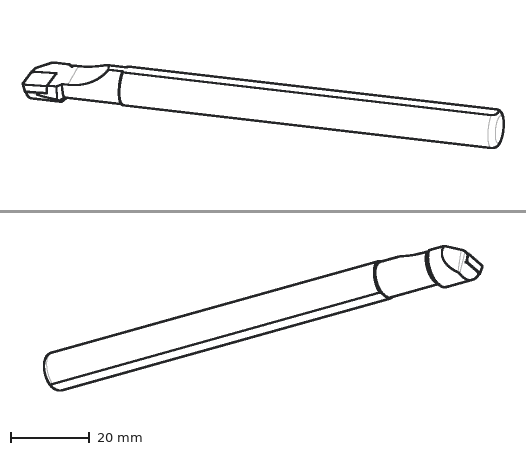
import cadquery as cq
import math

DIAGONAL = math.radians(45)
CLEAR = 30.0
LEAD = 1.0

total_length = 125.0
shank_radius = 5.0
shank_start = 25.0
flat_height = 4.5
rear_rounding = 1.5
front_chamfer = 0.3

neck_radius = 4.75

head_radius = 5.68
head_center_y = shank_radius - head_radius
head_end = 9.9
head_cone_length = head_radius - neck_radius

tip_y = -6.98
rake_angle = 11.1
relief_angle = 7.0

insert_edge = 6.45
insert_thickness = 2.38
edge_lean = 5.0
tip_radius = 0.4
half_point_angle = DIAGONAL - math.radians(edge_lean)
corner_overhang = tip_radius * (math.sin(DIAGONAL) / math.sin(half_point_angle) - 1)

side_setback = 0.2
flank_length = 8.7
nose_corner = 8.0
nose_corner_radius = 1.7

gullet_start = 11.5
gullet_radius = 15.8


def rake_plane():
    """Cutting face as a plane through the tip: X runs towards +Y, Y along the bar, normal down."""
    tilt = math.radians(rake_angle)
    across = (0, math.cos(tilt), math.sin(tilt))
    down = (0, math.sin(tilt), -math.cos(tilt))
    corner = (-corner_overhang, tip_y - corner_overhang * across[1], -corner_overhang * across[2])
    return cq.Plane(origin=corner, xDir=across, normal=down)


def along_front_edge(distance):
    lean = math.radians(edge_lean)
    return distance * math.cos(lean), distance * math.sin(lean)


def along_side_edge(distance):
    lean = math.radians(edge_lean)
    return distance * math.sin(lean), distance * math.cos(lean)


def x_cylinder(radius, start, end, center_y=0.0):
    plane = cq.Workplane("YZ", origin=(start, center_y, 0))
    return plane.circle(radius).extrude(end - start)


def make_insert():
    front_corner = along_front_edge(insert_edge)
    side_corner = along_side_edge(insert_edge)
    far_corner = (front_corner[0] + side_corner[0], front_corner[1] + side_corner[1])
    outline = cq.Workplane(rake_plane()).polyline([(0, 0), side_corner, far_corner, front_corner]).close()
    blank = outline.extrude(insert_thickness, taper=relief_angle)
    tip_edge = cq.selectors.NearestToPointSelector((0, tip_y, -insert_thickness / 2))
    return blank.edges(tip_edge).fillet(tip_radius)


def make_shank():
    shank = x_cylinder(shank_radius, shank_start, total_length)
    return shank.faces(">X").fillet(rear_rounding).faces("<X").chamfer(front_chamfer)


def relieved_prism():
    """Prism below the cutting face whose sides lean inwards by the relief angle."""
    turn = DIAGONAL - math.radians(edge_lean)
    arc_setback = nose_corner_radius * math.tan(turn / 2)
    diagonal = arc_setback * math.cos(DIAGONAL)
    corner = along_front_edge(nose_corner)
    flank_end = along_side_edge(flank_length)
    arc_end = (corner[0] + diagonal, corner[1] + diagonal)
    return (
        cq.Workplane(rake_plane())
        .center(side_setback, side_setback)
        .lineTo(*along_front_edge(nose_corner - arc_setback))
        .tangentArcPoint(arc_end, relative=False)
        .lineTo(corner[0] + CLEAR, corner[1] + CLEAR)
        .lineTo(flank_end[0] + CLEAR, flank_end[1] + CLEAR)
        .lineTo(*flank_end)
        .close()
        .extrude(2 * head_radius, taper=relief_angle)
    )


def make_head():
    blank = x_cylinder(head_radius, -LEAD, head_end, head_center_y)
    blank = blank.faces(">X").chamfer(head_cone_length)
    return blank.intersect(relieved_prism())


def gullet_cut():
    """Space above the cutting face and the gullet arc behind it."""
    plane = rake_plane()
    side = cq.Plane(origin=plane.origin, xDir=(1, 0, 0), normal=plane.xDir.multiply(-1))
    middle = gullet_radius * math.sin(DIAGONAL)
    profile = (
        cq.Workplane(side)
        .moveTo(-LEAD, 0)
        .lineTo(gullet_start, 0)
        .threePointArc(
            (gullet_start + middle, gullet_radius - middle),
            (gullet_start + gullet_radius, gullet_radius),
        )
        .lineTo(-LEAD, gullet_radius)
        .close()
    )
    return profile.extrude(CLEAR, both=True)


def flat_cut(side, start):
    """Space beyond a clamping flat, above (side 1) or below (side -1), from X = start to the rear end."""
    middle = (start + total_length) / 2
    box = cq.Workplane("XY").box(total_length - start, 2 * CLEAR, CLEAR)
    return box.translate((middle, 0, side * (flat_height + CLEAR / 2)))


insert = make_insert()
neck = x_cylinder(neck_radius, head_end, shank_start)
holder = make_shank().union(neck).union(make_head())
holder = holder.cut(gullet_cut())
holder = holder.cut(flat_cut(1, 0)).cut(flat_cut(-1, shank_start))
holder = holder.cut(insert)

result = cq.Compound.makeCompound([holder.val(), insert.val()])